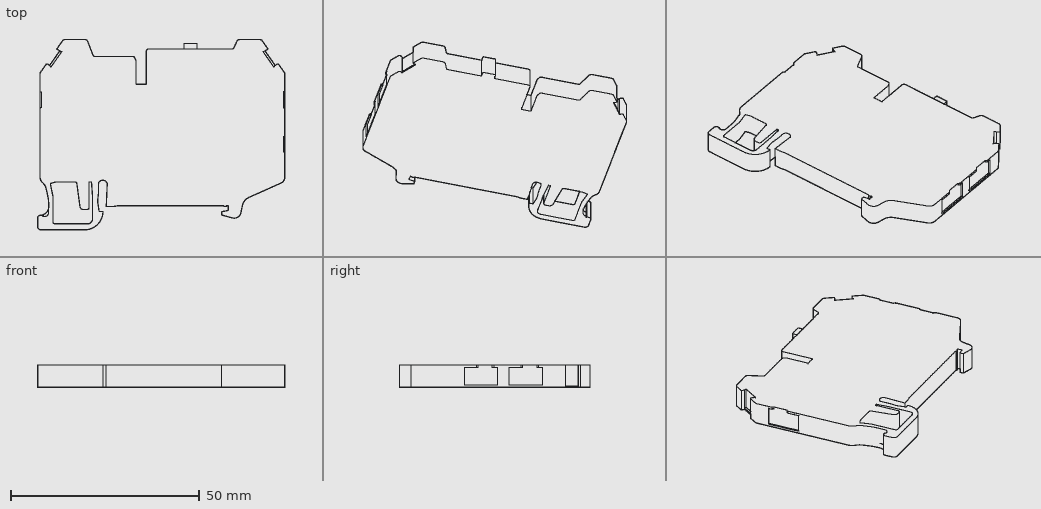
import cadquery as cq
import math


total_width = 65.73
total_height = 50.63
thickness = 5.95

foot_overhang = 0.6
body_left = foot_overhang
body_right = total_width
body_mid = (body_left + body_right) / 2

corner_start_y = 41.65
corner_angle = 55.1
corner_radius = 0.8
lug_corner_radius = 0.9
lug_inner_x = 13.15

left_shelf_y = 46.1
left_lug_base_x = 14.9
right_shelf_y = 48.13
right_lug_base_x = 52.0
lug_base_radius = 0.4

top_slot_left = 26.22
top_slot_right = 28.87
top_slot_floor_y = 38.72
slot_left_bevel = (0.55, 1.15)
slot_left_bevel_radius = 0.5
slot_right_radius = 0.7

side_diagonal_y = 12.9
side_diagonal_radius = 1.8
hook_root = (54.77, 8.0)
hook_root_radius = 2.9
hook_heel = (53.65, 2.63)
hook_heel_radius = 1.9
hook_tip_x = 48.93
hook_tip_bottom_y = 3.95
hook_tip_top_y = 4.9
hook_tip_radius = 0.15
hook_throat = (50.6, 5.2)
rail_seat_y = 6.4

seat_bump_height = 0.2
seat_bump_start_x = 49.45
seat_bump_end_x = 50.2
seat_bump_ramp = 0.1

seat_step_y = 6.18
seat_ramp_start_x = 20.1
seat_ramp_end_x = 21.3

spring_slot_top_y = 13.15
spring_slot_radius = 1.0
spring_slot_left_top = 16.2
spring_slot_right_top = 18.52
spring_slot_right_bottom = 18.22
spring_leg_waist = (15.98, 7.6)
spring_leg_waist_radius = 4.0
spring_leg_shoulder_y = 9.5

latch_y = 4.97
latch_inner_x = 16.4
foot_right = 17.42
foot_round_radius = 4.95
foot_corner_radius = 1.0
toe_top_y = 3.93
toe_radius = 0.75
toe_end_x = 1.2
groove_x = 1.5
groove_floor_y = 3.6
groove_radius = 1.0
arm_left = 2.92
arm_bend_y = 8.0
arm_bend_radius = 7.8
arm_neck = (2.05, 11.9)
arm_neck_radius = 2.8
body_bottom_left_y = 13.22
body_bottom_left_radius = 2.2

gusset_height = 1.44
gusset_top_y = 6.0
gusset_end_y = 4.1
gusset_bulge = 0.38

window_left = 4.12
window_right = 14.57
window_floor_y = 1.68
window_top_y = 12.73
window_floor_left_radius = 0.45
window_floor_right_radius = 1.2
window_left_bend_y = 9.0
window_top_left = (3.42, 12.3)
window_top_left_radius = 0.15
window_top_bend_x = 4.75
window_top_bend_radius = 3.0
tongue_left_top_x = 10.35
tongue_left_bottom_x = 11.35
tongue_right = 13.72
tongue_end_y = 5.38
tongue_root_radius = 0.45
tongue_tip_left_radius = 1.0
tongue_tip_right_radius = 0.6
window_top_right_x = 14.3
window_right_bend_y = 9.0

groove_start = 3.2
groove_end = 7.85
groove_mouth_depth = 0.93
groove_full_depth = 1.5
groove_undercut = 0.2
groove_ledge_z = 0.4
groove_lip_radius = 0.4

pocket_depth = 0.42
pocket_floor_z = 0.6
pocket_roof_z = 5.35
pocket_below_opening = 3.2
pocket_above_opening = 1.05
opening_taper = 0.4
upper_opening = (32.25, 36.9)
lower_opening = (20.5, 25.05)

tab_left = 38.88
tab_right = 42.4
tab_top_y = 49.6
tab_drop = 0.1
tab_edge_radius = 0.2


def rounded_polygon(corners):
    """Closed wire through (x, y, radius) corners; a radius of 0 leaves the corner sharp."""
    stretches = []
    for i, (x, y, radius) in enumerate(corners):
        corner = cq.Vector(x, y)
        if radius == 0:
            stretches.append((corner,))
            continue
        before = cq.Vector(*corners[i - 1][:2])
        after = cq.Vector(*corners[(i + 1) % len(corners)][:2])
        back = (before - corner).normalized()
        ahead = (after - corner).normalized()
        half_angle = back.getAngle(ahead) / 2
        setback = radius / math.tan(half_angle)
        crown = radius / math.sin(half_angle) - radius
        middle = corner + (back + ahead).normalized() * crown
        stretches.append((corner + back * setback, middle, corner + ahead * setback))

    first = stretches[0][0]
    path = cq.Workplane("XY").moveTo(first.x, first.y)
    for i, stretch in enumerate(stretches):
        if i > 0:
            path = path.lineTo(stretch[0].x, stretch[0].y)
        if len(stretch) > 1:
            path = path.threePointArc(stretch[1].toTuple()[:2], stretch[2].toTuple()[:2])
    return path.close()


def mirrored(x):
    """X position mirrored about the middle of the body."""
    return 2 * body_mid - x


def slope_point(along, depth):
    """Point on the left corner slope: distance up the slope, then depth into the body."""
    angle = math.radians(corner_angle)
    x = body_left + along * math.cos(angle) + depth * math.sin(angle)
    y = corner_start_y + along * math.sin(angle) - depth * math.cos(angle)
    return x, y


def left_corner():
    """Corners of the upper left slope, from the side wall up to the lug top."""
    lug_top_along = (total_height - corner_start_y) / math.sin(math.radians(corner_angle))
    return [
        (body_left, corner_start_y, corner_radius),
        (*slope_point(groove_start, 0), groove_lip_radius),
        (*slope_point(groove_start, groove_mouth_depth), 0),
        (*slope_point(groove_end, groove_mouth_depth), 0),
        (*slope_point(groove_end, 0), 0),
        (*slope_point(lug_top_along, 0), lug_corner_radius),
    ]


def upper_edge():
    """Corners from the left lug to the right lug, across the top slot."""
    bevel_x, bevel_y = slot_left_bevel
    return [
        (lug_inner_x, total_height, lug_corner_radius),
        (left_lug_base_x, left_shelf_y, lug_base_radius),
        (top_slot_left - bevel_x, left_shelf_y, slot_left_bevel_radius),
        (top_slot_left, left_shelf_y - bevel_y, slot_left_bevel_radius),
        (top_slot_left, top_slot_floor_y, 0),
        (top_slot_right, top_slot_floor_y, 0),
        (top_slot_right, right_shelf_y, slot_right_radius),
        (right_lug_base_x, right_shelf_y, lug_base_radius),
        (mirrored(lug_inner_x), total_height, lug_corner_radius),
    ]


def hook_and_seat():
    """Corners down the right side, round the fixed hook and along the rail seat."""
    bump_y = rail_seat_y - seat_bump_height
    return [
        (body_right, side_diagonal_y, side_diagonal_radius),
        (*hook_root, hook_root_radius),
        (*hook_heel, hook_heel_radius),
        (hook_tip_x, hook_tip_bottom_y, 0),
        (hook_tip_x, hook_tip_top_y, hook_tip_radius),
        (*hook_throat, 0),
        (hook_throat[0], rail_seat_y, 0),
        (seat_bump_end_x, rail_seat_y, 0),
        (seat_bump_end_x - seat_bump_ramp, bump_y, 0),
        (seat_bump_start_x + seat_bump_ramp, bump_y, 0),
        (seat_bump_start_x, rail_seat_y, 0),
        (seat_ramp_end_x, rail_seat_y, 0),
        (seat_ramp_start_x, seat_step_y, 0),
    ]


def spring_slot_and_foot():
    """Corners up and down the spring slot, round the foot and up the flexible arm."""
    return [
        (spring_slot_right_bottom, seat_step_y, 0),
        (spring_slot_right_top, spring_slot_top_y, spring_slot_radius),
        (spring_slot_left_top, spring_slot_top_y, spring_slot_radius),
        (spring_slot_left_top, spring_leg_shoulder_y, 0),
        (*spring_leg_waist, spring_leg_waist_radius),
        (latch_inner_x, latch_y, 0),
        (foot_right, latch_y, 0),
        (foot_right, 0, foot_round_radius),
        (0, 0, foot_corner_radius),
        (0, toe_top_y, toe_radius),
        (toe_end_x, toe_top_y, 0),
        (groove_x, groove_floor_y, 0),
        (arm_left, groove_floor_y, groove_radius),
        (arm_left, arm_bend_y, arm_bend_radius),
        (*arm_neck, arm_neck_radius),
        (body_left, body_bottom_left_y, body_bottom_left_radius),
    ]


def make_plate():
    left = left_corner()
    right = [(mirrored(x), y, radius) for x, y, radius in reversed(left)]
    outline = left + upper_edge() + right + hook_and_seat() + spring_slot_and_foot()
    return rounded_polygon(outline).extrude(thickness)


def make_window():
    """Opening inside the foot, with the tongue hanging into it from above."""
    outline = [
        (window_left, window_floor_y, window_floor_left_radius),
        (window_right, window_floor_y, window_floor_right_radius),
        (window_right, window_right_bend_y, 0),
        (window_top_right_x, window_top_y, 0),
        (tongue_right, window_top_y, 0),
        (tongue_right, tongue_end_y, tongue_tip_right_radius),
        (tongue_left_bottom_x, tongue_end_y, tongue_tip_left_radius),
        (tongue_left_top_x, window_top_y, tongue_root_radius),
        (window_top_bend_x, window_top_y, window_top_bend_radius),
        (*window_top_left, window_top_left_radius),
        (window_left, window_left_bend_y, 0),
    ]
    return rounded_polygon(outline).extrude(thickness)


def make_gusset():
    """Low fillet-like thickening between the toe and the arm."""
    return (
        cq.Workplane("XY")
        .moveTo(arm_left, gusset_top_y)
        .sagittaArc((groove_x, gusset_end_y), gusset_bulge)
        .lineTo(groove_x, groove_floor_y)
        .lineTo(arm_left, groove_floor_y)
        .close()
        .extrude(gusset_height)
    )


def make_label_groove():
    """Deep, undercut part of the left label groove; a ledge remains below it."""
    low = groove_start - groove_undercut
    high = groove_end + groove_undercut
    outline = [
        slope_point(groove_start, groove_mouth_depth),
        slope_point(low, groove_full_depth),
        slope_point(high, groove_full_depth),
        slope_point(groove_end, groove_mouth_depth),
    ]
    return (
        cq.Workplane("XY")
        .workplane(offset=groove_ledge_z)
        .polyline(outline)
        .close()
        .extrude(thickness - groove_ledge_z)
    )


def make_marker_pocket(opening):
    """Shallow pocket in the left side wall with a tapered opening in the top face."""
    low, high = opening
    inner_x = body_left + pocket_depth
    recess = cq.Workplane("XY").box(
        pocket_depth,
        high - low + pocket_below_opening + pocket_above_opening,
        pocket_roof_z - pocket_floor_z,
        centered=False,
    ).translate((body_left, low - pocket_below_opening, pocket_floor_z))
    mouth = (
        cq.Workplane("XY")
        .workplane(offset=pocket_floor_z)
        .moveTo(body_left, low)
        .lineTo(inner_x, low + opening_taper)
        .lineTo(inner_x, high - opening_taper)
        .lineTo(body_left, high)
        .close()
        .extrude(thickness - pocket_floor_z)
    )
    return recess.union(mouth)


def mirror_to_right(shape):
    return shape.mirror("YZ", (body_mid, 0, 0))


def make_tab():
    tab = rounded_polygon([
        (tab_left, top_slot_floor_y, 0),
        (tab_right, top_slot_floor_y, 0),
        (tab_right, tab_top_y, tab_edge_radius),
        (tab_left, tab_top_y, tab_edge_radius),
    ])
    return tab.extrude(thickness - tab_drop)


label_groove = make_label_groove()
upper_pocket = make_marker_pocket(upper_opening)
lower_pocket = make_marker_pocket(lower_opening)

result = (
    make_plate()
    .union(make_tab())
    .union(make_gusset())
    .cut(make_window())
    .cut(label_groove)
    .cut(mirror_to_right(label_groove))
    .cut(upper_pocket)
    .cut(mirror_to_right(upper_pocket))
    .cut(mirror_to_right(lower_pocket))
)